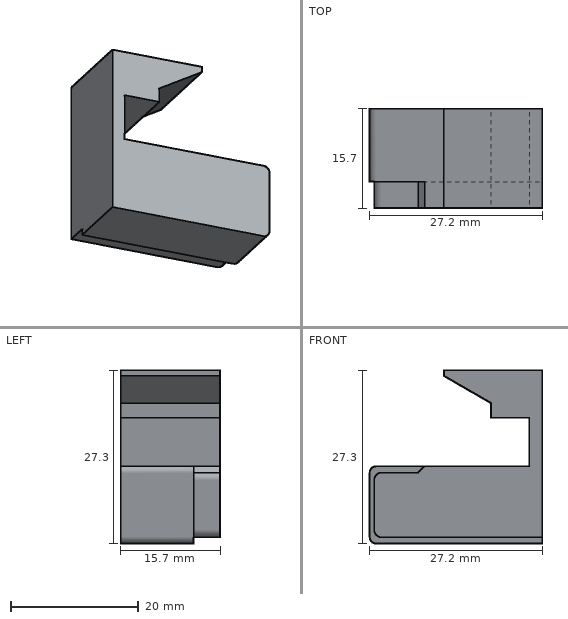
import cadquery as cq
import math

length = 27.2
width = 15.65
height = 27.3

body_height = 12.2
body_corner_radius = 1.1

wall_thickness = 2.07
hook_reach = 15.5
hook_lip_height = 0.9
hook_root_reach = 8.1
hook_root_height = 7.5
hook_slope_angle = 30.0

relief_depth = 4.18
relief_end_inset = 0.75
relief_edge_inset = 1.0
relief_corner_radius = 1.2
ramp_foot = 7.65
ramp_run = relief_edge_inset


def extrude_along_y(profile, depth):
    """Extrude an XZ profile from the front face (Y = 0) towards +Y."""
    return profile.extrude(-depth)


def make_frame():
    """Lower body, rear wall and hook as one constant profile."""
    hook_tip_x = length - hook_reach
    hook_root_x = length - hook_root_reach
    wall_x = length - wall_thickness
    slope_drop = (hook_root_x - hook_tip_x) * math.tan(math.radians(hook_slope_angle))
    profile = cq.Workplane("XZ").polyline([
        (0, 0),
        (length, 0),
        (length, height),
        (hook_tip_x, height),
        (hook_tip_x, height - hook_lip_height),
        (hook_root_x, height - hook_lip_height - slope_drop),
        (hook_root_x, height - hook_root_height),
        (wall_x, height - hook_root_height),
        (wall_x, body_height),
        (0, body_height),
    ]).close()
    frame = extrude_along_y(profile, width)
    return frame.edges("|Y and <X").fillet(body_corner_radius)


def make_relief_cutter():
    """Strip around the end, top and bottom of the front part of the body."""
    surround = extrude_along_y(
        cq.Workplane("XZ").rect(length, body_height, centered=False), relief_depth
    )
    core_profile = cq.Workplane("XZ").polyline([
        (relief_end_inset, relief_edge_inset),
        (length, relief_edge_inset),
        (length, body_height),
        (ramp_foot + ramp_run, body_height),
        (ramp_foot, body_height - relief_edge_inset),
        (relief_end_inset, body_height - relief_edge_inset),
    ]).close()
    core = extrude_along_y(core_profile, relief_depth)
    core = core.edges("|Y and <X").fillet(relief_corner_radius)
    return surround.cut(core)


result = make_frame().cut(make_relief_cutter())